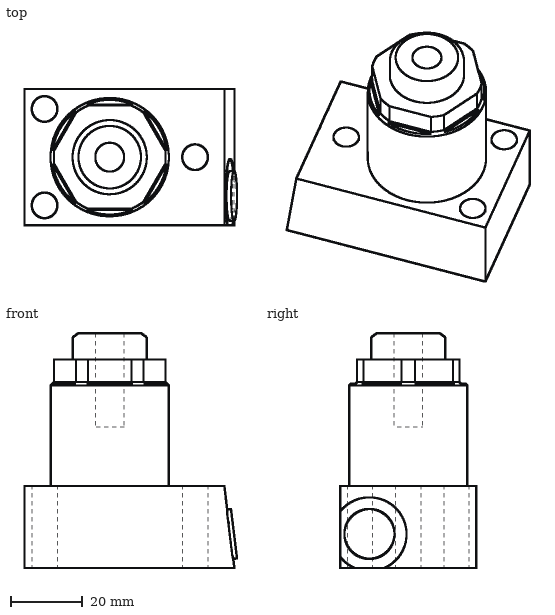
import cadquery as cq
import math

block_height = 23.0
block_width = 38.1
block_top_length = 55.9
end_tilt = 7.0
block_bottom_length = block_top_length + block_height * math.tan(math.radians(end_tilt))

mount_hole_diameter = 7.1
left_hole_x = 5.65
left_hole_y = 13.45
right_hole_x = 47.7

body_x = 23.85
body_radius = 16.55
body_top = 51.05
shoulder_chamfer = 0.9
shoulder_top = body_top + shoulder_chamfer
hex_corner_radius = body_radius - shoulder_chamfer
hex_top = 58.3
collar_radius = 10.4
collar_top = 65.7
rim_round_start = collar_top - 1.65
rim_cone_start = collar_top - 0.9
rim_cone_radius = 10.05
rim_top_radius = 8.75

flat_count = 6
flat_distance = 14.4
flat_bevel = 0.4
flat_ledge = shoulder_top - flat_bevel

bore_diameter = 8.1
bore_depth = 26.3

plug_y = -10.85
plug_z = 9.5
plug_diameter = 14.0
plug_projection = 1.05
spotface_diameter = 20.75
spotface_depth = 0.2


def make_block():
    outline = [
        (0, 0),
        (block_bottom_length, 0),
        (block_top_length, block_height),
        (0, block_height),
    ]
    return cq.Workplane("XZ").polyline(outline).close().extrude(block_width / 2, both=True)


def make_body():
    profile = (
        cq.Workplane("XZ")
        .lineTo(body_radius, 0)
        .lineTo(body_radius, body_top)
        .lineTo(hex_corner_radius, shoulder_top)
        .lineTo(hex_corner_radius, hex_top)
        .lineTo(collar_radius, hex_top)
        .lineTo(collar_radius, rim_round_start)
        .tangentArcPoint((rim_cone_radius, rim_cone_start), relative=False)
        .lineTo(rim_top_radius, collar_top)
        .lineTo(0, collar_top)
        .close()
    )
    body = profile.revolve(360, (0, 0, 0), (0, 1, 0))
    flat_cutter = make_flat_cutter()
    for index in range(flat_count):
        angle = 90 + index * 360 / flat_count
        body = body.cut(flat_cutter.rotate((0, 0, 0), (0, 0, 1), angle))
    return body.translate((body_x, 0, 0))


def make_flat_cutter():
    """Material outside one flat, facing +X."""
    outline = [
        (flat_distance, hex_top),
        (flat_distance, shoulder_top),
        (flat_distance + flat_bevel, flat_ledge),
        (body_radius, flat_ledge),
        (body_radius, hex_top),
    ]
    return cq.Workplane("XZ").polyline(outline).close().extrude(body_radius, both=True)


def cut_mount_holes(part):
    centers = [(left_hole_x, left_hole_y), (left_hole_x, -left_hole_y), (right_hole_x, 0)]
    holes = cq.Workplane("XY").pushPoints(centers).circle(mount_hole_diameter / 2).extrude(block_height)
    return part.cut(holes)


def cut_bore(part):
    bore = (
        cq.Workplane("XY", origin=(body_x, 0, collar_top))
        .circle(bore_diameter / 2)
        .extrude(-bore_depth)
    )
    return part.cut(bore)


def add_plug(part):
    tilt = math.radians(end_tilt)
    face_x = block_bottom_length - plug_z * math.tan(tilt)
    end_face = cq.Plane(
        origin=(face_x, plug_y, plug_z),
        xDir=(0, 1, 0),
        normal=(math.cos(tilt), 0, math.sin(tilt)),
    )
    spotface = cq.Workplane(end_face).circle(spotface_diameter / 2).extrude(-spotface_depth)
    plug = (
        cq.Workplane(end_face)
        .workplane(offset=-spotface_depth)
        .circle(plug_diameter / 2)
        .extrude(spotface_depth + plug_projection)
    )
    return part.cut(spotface).union(plug)


part = cut_mount_holes(make_block())
part = part.union(make_body())
part = cut_bore(part)
result = add_plug(part)